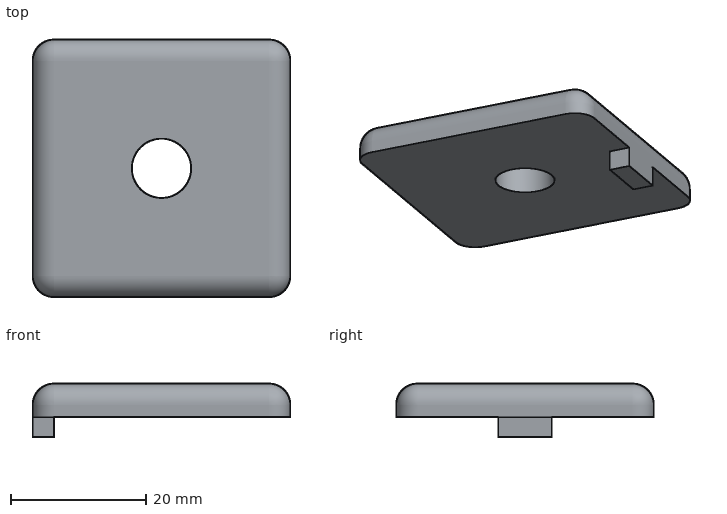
import cadquery as cq

plate_side = 38.1
plate_thickness = 4.98
edge_radius = 3.175

hole_diameter = 8.73

overall_height = 7.95
tab_drop = overall_height - plate_thickness
tab_length = edge_radius
tab_width = 7.94


def make_plate():
    """Square plate with its underside at Z = 0 and ball-shaped top corners."""
    plate = cq.Workplane("XY").box(plate_side, plate_side, plate_thickness, centered=(True, True, False))
    return plate.edges("|Z or >Z").fillet(edge_radius)


def make_tab():
    """Rectangular tab hanging from the plate, flush with its -X side."""
    tab_center_x = (tab_length - plate_side) / 2
    return (
        cq.Workplane("XY")
        .center(tab_center_x, 0)
        .rect(tab_length, tab_width)
        .extrude(-tab_drop)
    )


def make_hole():
    """Cylinder that cuts the centre hole right through the plate."""
    return cq.Workplane("XY").circle(hole_diameter / 2).extrude(plate_thickness)


result = make_plate().union(make_tab()).cut(make_hole())